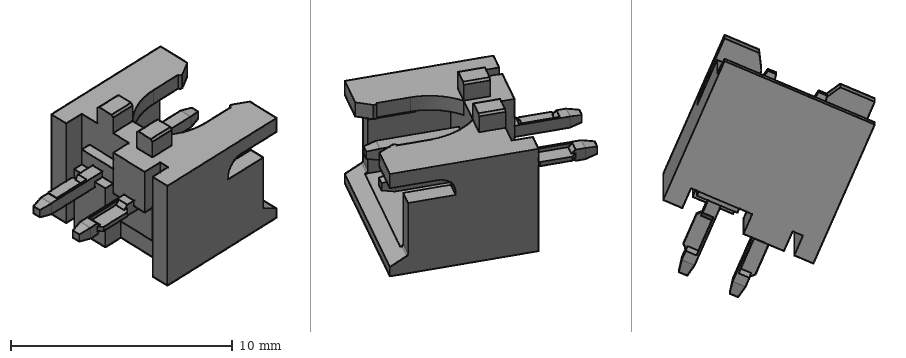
import cadquery as cq
import math

HOUSING_WIDTH = 7.4
HOUSING_DEPTH = 7.0
HOUSING_HEIGHT = 5.75
WALL = 0.8
FLOOR = 0.95

RECESS_WIDTH = 5.51
RECESS_DEPTH = 1.0
PAD_WIDTH = 2.0
PAD_STEP = RECESS_DEPTH / 2
LEFT_PAD_TOP = 4.25
RIGHT_PAD_BOTTOM = 1.5

FRONT_WALL = 1.25
CAVITY_Y = RECESS_DEPTH + FRONT_WALL
CAVITY_TOP = HOUSING_HEIGHT - WALL

TAB_WIDTH = 1.0
TAB_HEIGHT = 1.0
TAB_CHAMFER = 0.1

REAR_SETBACK = 0.85
LIP_HEIGHT = 0.53
LEAD_IN_ANGLE = 30.0
LIP_FILLET = 0.12
WINDOW_BOTTOM = 3.95
WINDOW_DEPTH = 3.1
WINDOW_RADIUS = 0.85

SLOT_MOUTH_HALF = 2.0
SLOT_HALF = 1.67
SLOT_END_HALF = 0.75
SLOT_STRAIGHT_END_Y = 4.5
NUB_RADIUS = 0.1
NUB_Y = 6.19

PIN_PITCH = 2.51
PIN_Z = 3.4
PIN_SIZE = 0.63
PIN_FRONT_Y = -3.4
PIN_REAR_Y = 6.75
TIP_LENGTH = 0.6
TIP_SIZE = 0.42

FIN_START_Y = -0.43
FIN_END_Y = -2.35
SWAGE_DEPTH = 0.2
FIN_OVERHANG = 0.21
PIN_SPINE = 0.1

SIDES = (-1, 1)


def block(x, y, z):
    """Box given by its (low, high) range along each axis."""
    return cq.Workplane("XY").box(
        x[1] - x[0], y[1] - y[0], z[1] - z[0], centered=False
    ).translate((x[0], y[0], z[0]))


def centred_range(centre, size):
    return (centre - size / 2, centre + size / 2)


def housing_shell():
    """Side outline of the housing, swept across its full width."""
    wall_rear_y = HOUSING_DEPTH - REAR_SETBACK
    slope_top_z = LIP_HEIGHT + REAR_SETBACK * math.tan(math.radians(LEAD_IN_ANGLE))
    window_y = HOUSING_DEPTH - WINDOW_DEPTH
    shell = (
        cq.Workplane("YZ")
        .polyline([
            (0, 0),
            (HOUSING_DEPTH, 0),
            (HOUSING_DEPTH, LIP_HEIGHT),
            (wall_rear_y, slope_top_z),
            (wall_rear_y, WINDOW_BOTTOM),
            (window_y, WINDOW_BOTTOM),
            (window_y, CAVITY_TOP),
            (HOUSING_DEPTH, CAVITY_TOP),
            (HOUSING_DEPTH, HOUSING_HEIGHT),
            (0, HOUSING_HEIGHT),
        ])
        .close()
        .extrude(HOUSING_WIDTH / 2, both=True)
    )
    lip_corner = cq.selectors.NearestToPointSelector((0, wall_rear_y, slope_top_z))
    window_corner = cq.selectors.NearestToPointSelector((0, window_y, CAVITY_TOP))
    shell = shell.edges(lip_corner).fillet(LIP_FILLET)
    return shell.edges(window_corner).fillet(WINDOW_RADIUS)


def mating_cavity():
    """Rectangular cavity open at the rear."""
    half_width = HOUSING_WIDTH / 2 - WALL
    return block((-half_width, half_width), (CAVITY_Y, HOUSING_DEPTH), (FLOOR, CAVITY_TOP))


def key_slot():
    """Opening in the top wall: curved front end, straight sides, nubs and a flared mouth."""
    end_run = SLOT_STRAIGHT_END_Y - CAVITY_Y
    narrowing = SLOT_HALF - SLOT_END_HALF
    arc_radius = (end_run ** 2 + narrowing ** 2) / (2 * narrowing)
    arc_middle = math.asin(end_run / arc_radius) / 2
    arc_middle_x = SLOT_HALF - arc_radius * (1 - math.cos(arc_middle))
    arc_middle_y = SLOT_STRAIGHT_END_Y - arc_radius * math.sin(arc_middle)
    nub_x = SLOT_HALF - NUB_RADIUS
    flare_y = HOUSING_DEPTH - (SLOT_MOUTH_HALF - nub_x) / math.tan(math.radians(LEAD_IN_ANGLE))
    nub_middle_x = SLOT_HALF - NUB_RADIUS * math.sqrt(0.5)
    nub_middle_y = NUB_Y - NUB_RADIUS * math.sqrt(0.5)
    nub_front_y = NUB_Y - NUB_RADIUS
    return (
        cq.Workplane("XY", origin=(0, 0, CAVITY_TOP))
        .moveTo(-SLOT_END_HALF, CAVITY_Y)
        .lineTo(SLOT_END_HALF, CAVITY_Y)
        .threePointArc((arc_middle_x, arc_middle_y), (SLOT_HALF, SLOT_STRAIGHT_END_Y))
        .lineTo(SLOT_HALF, nub_front_y)
        .threePointArc((nub_middle_x, nub_middle_y), (nub_x, NUB_Y))
        .lineTo(nub_x, flare_y)
        .lineTo(SLOT_MOUTH_HALF, HOUSING_DEPTH)
        .lineTo(-SLOT_MOUTH_HALF, HOUSING_DEPTH)
        .lineTo(-nub_x, flare_y)
        .lineTo(-nub_x, NUB_Y)
        .threePointArc((-nub_middle_x, nub_middle_y), (-SLOT_HALF, nub_front_y))
        .lineTo(-SLOT_HALF, SLOT_STRAIGHT_END_Y)
        .threePointArc((-arc_middle_x, arc_middle_y), (-SLOT_END_HALF, CAVITY_Y))
        .close()
        .extrude(WALL)
    )


def front_recess():
    """Full-height channel across the front face."""
    return block(centred_range(0, RECESS_WIDTH), (0, RECESS_DEPTH), (0, HOUSING_HEIGHT))


def left_pad():
    """Pad from the underside up, set back above the pin centre."""
    x = centred_range(-PIN_PITCH / 2, PAD_WIDTH)
    lower = block(x, (0, RECESS_DEPTH), (0, PIN_Z))
    upper = block(x, (PAD_STEP, RECESS_DEPTH), (PIN_Z, LEFT_PAD_TOP))
    return lower.union(upper)


def right_pad():
    """Pad from the top down, set back below the pin centre."""
    x = centred_range(PIN_PITCH / 2, PAD_WIDTH)
    upper = block(x, (0, RECESS_DEPTH), (PIN_Z, HOUSING_HEIGHT))
    lower = block(x, (PAD_STEP, RECESS_DEPTH), (RIGHT_PAD_BOTTOM, PIN_Z))
    return upper.union(lower)


def locating_tab(side):
    """Tab on top of the front wall with chamfered long edges."""
    tab = block(
        centred_range(side * PIN_PITCH / 2, TAB_WIDTH),
        (RECESS_DEPTH, CAVITY_Y),
        (HOUSING_HEIGHT, HOUSING_HEIGHT + TAB_HEIGHT),
    )
    return tab.faces(">Z").edges("|Y").chamfer(TAB_CHAMFER)


def pin_hole(side):
    """Square hole through pad and front wall that a pin fills."""
    return block(
        centred_range(side * PIN_PITCH / 2, PIN_SIZE),
        (0, CAVITY_Y),
        centred_range(PIN_Z, PIN_SIZE),
    )


def build_housing():
    body = housing_shell().cut(mating_cavity()).cut(key_slot()).cut(front_recess())
    body = body.union(left_pad()).union(right_pad())
    for side in SIDES:
        body = body.union(locating_tab(side)).cut(pin_hole(side))
    return body


def pin_tip(x, base_y, end_y):
    """Tapered square end of a pin, from its full section to the small end face."""
    direction = math.copysign(1, end_y - base_y)
    base = cq.Plane(origin=(x, base_y, PIN_Z), xDir=(1, 0, 0), normal=(0, direction, 0))
    return (
        cq.Workplane(base)
        .rect(PIN_SIZE, PIN_SIZE)
        .workplane(offset=TIP_LENGTH)
        .rect(TIP_SIZE, TIP_SIZE)
        .loft(ruled=True)
    )


def swage_notches(side):
    """Trapezoidal notches above and below the fin, open on the outer side of the pin."""
    inner_x = side * (PIN_PITCH / 2 - PIN_SIZE / 2 + PIN_SPINE)
    half = PIN_SIZE / 2
    floor = half - SWAGE_DEPTH
    upper = (
        cq.Workplane("YZ", origin=(inner_x, 0, PIN_Z))
        .polyline([
            (FIN_START_Y, half),
            (FIN_START_Y - SWAGE_DEPTH, floor),
            (FIN_END_Y + SWAGE_DEPTH, floor),
            (FIN_END_Y, half),
        ])
        .close()
        .extrude(side * (PIN_SIZE - PIN_SPINE))
    )
    lower = upper.mirror("XY", (0, 0, PIN_Z))
    return upper.union(lower)


def swage_fin(side):
    """Thin fin pressed out past the outer side of the pin, with bevelled ends."""
    thickness = PIN_SIZE - 2 * SWAGE_DEPTH
    outer_x = side * (PIN_PITCH / 2 + PIN_SIZE / 2)
    tip_x = outer_x + side * FIN_OVERHANG
    return (
        cq.Workplane("XY", origin=(0, 0, PIN_Z))
        .polyline([
            (outer_x, FIN_START_Y),
            (tip_x, FIN_START_Y - FIN_OVERHANG),
            (tip_x, FIN_END_Y + FIN_OVERHANG),
            (outer_x, FIN_END_Y),
        ])
        .close()
        .extrude(thickness / 2, both=True)
    )


def build_pin(side):
    x = side * PIN_PITCH / 2
    shank_front_y = PIN_FRONT_Y + TIP_LENGTH
    shank_rear_y = PIN_REAR_Y - TIP_LENGTH
    pin = block(
        centred_range(x, PIN_SIZE),
        (shank_front_y, shank_rear_y),
        centred_range(PIN_Z, PIN_SIZE),
    )
    pin = pin.union(pin_tip(x, shank_front_y, PIN_FRONT_Y))
    pin = pin.union(pin_tip(x, shank_rear_y, PIN_REAR_Y))
    return pin.cut(swage_notches(side)).union(swage_fin(side))


housing = build_housing()
pins = [build_pin(side) for side in SIDES]

result = cq.Compound.makeCompound([housing.val(), *[pin.val() for pin in pins]])